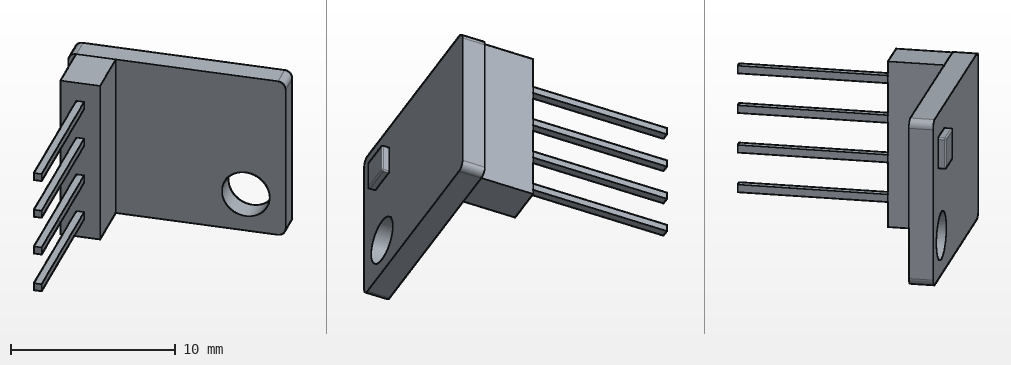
import cadquery as cq

board_width = 13.7
board_height = 10.6
board_thickness = 1.5
board_corner_radius = 0.5

hole_diameter = 3.0
corner_inset = 2.5
hole_x = board_width - corner_inset
hole_z = corner_inset

chip_side = 2.0
chip_thickness = 0.5
chip_edge_radius = 0.1
chip_z = board_height - corner_inset

header_width = 2.5
header_depth = 3.5
header_left = board_corner_radius
header_center_x = header_left + header_width / 2

overall_depth = 15.0
pin_count = 4
pin_pitch = 2.54
pin_side = 0.5
pin_length = overall_depth - chip_thickness - board_thickness - header_depth


def block(width, depth, height, center_x, front_y, center_z):
    """Box centered on X and Z, reaching from front_y towards +Y."""
    return (
        cq.Workplane("XY")
        .box(width, depth, height, centered=(True, False, True))
        .translate((center_x, front_y, center_z))
    )


def make_chip():
    """Chip with rounded side and back edges; its face on the board stays sharp."""
    chip = block(chip_side, chip_thickness, chip_side, hole_x, board_thickness, chip_z)
    return chip.edges("not <Y").fillet(chip_edge_radius)


def make_board():
    """Rounded board with its mounting hole and chip."""
    plate = block(
        board_width, board_thickness, board_height, board_width / 2, 0, board_height / 2
    )
    plate = plate.edges("|Y").fillet(board_corner_radius)
    hole = (
        cq.Workplane("XZ")
        .center(hole_x, hole_z)
        .circle(hole_diameter / 2)
        .extrude(-board_thickness)
    )
    return plate.cut(hole).union(make_chip())


def make_header():
    """Header block over the full board height, with a column of pins."""
    header = block(
        header_width, header_depth, board_height, header_center_x, -header_depth, board_height / 2
    )
    for i in range(pin_count):
        pin_z = board_height / 2 + (i - (pin_count - 1) / 2) * pin_pitch
        pin_tip_y = -header_depth - pin_length
        header = header.union(
            block(pin_side, pin_length, pin_side, header_center_x, pin_tip_y, pin_z)
        )
    return header


board = make_board()
header = make_header()

result = cq.Compound.makeCompound([board.solids().val(), header.solids().val()])